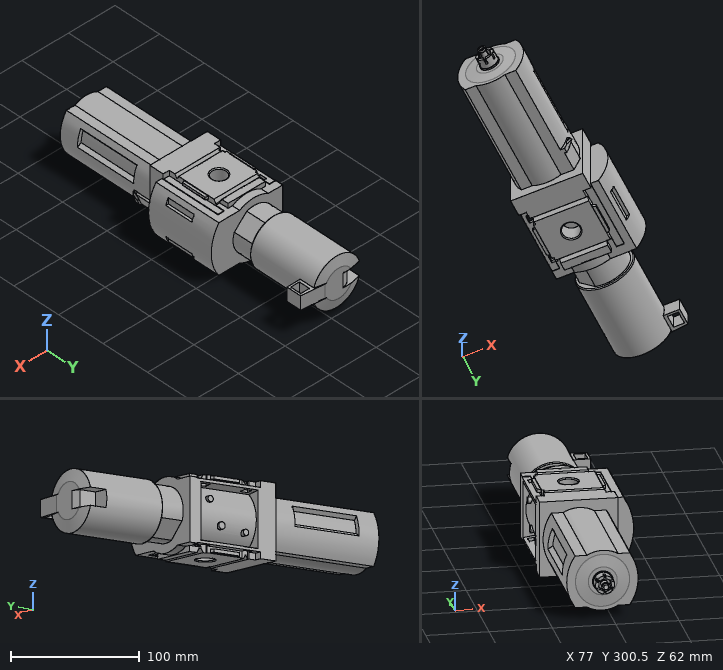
import cadquery as cq
import math


half = 31.0
base_top = 15.0
block_top = 84.7
core_half_height = 26.0
port_y = 45.3
collar_radius = 30.3
end_plate_length = 8.0
end_plate_start = block_top - end_plate_length
rail_half_height = 25.5
pad_half_width = 24.3
pad_start = 23.5
pad_end = 67.3
groove_half_width = 2.0
groove_depth = 3.3
upper_pad_half_width = 20.0

port_diameter = 15.0
port_depth = 15.0
port_chamfer = 1.0

tab_reach = 2.7
tab_bottom = 27.5
tab_top = 30.3
tab_root_half_length = 13.8
tab_tip_half_length = 12.5

clip_x = -25.2
clip_width = 5.0
clip_length = 7.0
clip_places = (25.0, 66.0)
clip_depth = 10.5

window_start = 17.5
window_end = 73.5
window_half_height = 23.0
window_floor_half_height = 21.3
window_floor_radius = 28.5
contact_pins = ((62.8, 11.0, 5.0), (51.7, -8.7, 6.0), (28.0, -11.5, 5.0))
pin_tip_x = -29.0

cover_start = 14.0
cover_shoulder_x = 37.8
cover_crown_x = 46.0
cover_slot_x = 42.0
cover_slot_width = 3.0
cover_slot_length = 29.0
cover_slot_depth = 3.0

bowl_length = 103.5
bowl_radius = 24.5
bowl_flat_z = 21.3
bowl_corner_x = 21.5
bowl_side_x = 28.2
cone_radius = 21.3
cone_end_radius = 11.5
cone_height = 1.2

sight_start = -21.0
sight_length = 63.0
sight_depth = 4.0
sight_flanks = [(-28.0, 20.0), (-20.7, 10.8), (-21.0, 4.0), (-30.5, -2.0)]

latch_y = -19.2
latch_length = 4.2
latch_top_z = -7.2
latch_root_x = 19.5
tongue_x = 28.8
tongue_foot_x = 23.5
nose_x = 30.5
latch_bevel = 1.8

drain_diameter = 15.0
drain_bore = 10.0
drain_ring_radius = 8.0
drain_ring_start = -106.0
drain_end = -114.7
drain_slots = 6
drain_slot_width = 1.5
drain_slot_length = 4.8
stem_diameter = 5.5
stem_lip_diameter = 6.5
stem_lip_length = 2.0
stem_bore = 4.0
stem_end = -120.5

neck_radius = 22.5
neck_flat_distance = 20.5
neck_end = 106.5

knob_radius = 25.5
knob_chamfer = 1.0
knob_shoulder = 177.5
knob_end = 180.0
crown_radius = 15.0
lock_half_width = 7.2
lock_start = 162.2
lock_notch_x = -11.0
lock_notch_run = 6.5
eye_x = 38.7
eye_end = 177.5
eye_hole_start_x = 27.3
eye_wall = 2.0


def box(x_range, y_range, z_range):
    """Box between two limits along each axis."""
    size = [high - low for low, high in (x_range, y_range, z_range)]
    return cq.Workplane("XY").box(*size, centered=False).translate((x_range[0], y_range[0], z_range[0]))


def section(y):
    """Sketch plane across the axis: local x is X, local y is Z, extrusion goes towards +Y."""
    return cq.Workplane(cq.Plane(origin=(0, y, 0), xDir=(1, 0, 0), normal=(0, -1, 0)))


def along_y(sketch, length):
    """Extrude a cross-section towards +Y."""
    return sketch.extrude(-length)


def rod(radius, start, end):
    return along_y(section(start).circle(radius), end - start)


def both_sides(shape, plane):
    """The shape together with its mirror image."""
    return shape.union(shape.mirror(plane))


def make_pad():
    """Raised port face on +Z with V grooves across it and side tabs."""
    pad = box((-pad_half_width, pad_half_width), (base_top, pad_end), (core_half_height, half))
    pad = pad.union(box(
        (-upper_pad_half_width, upper_pad_half_width), (pad_end, end_plate_start), (core_half_height, half)))
    for y in (pad_start, pad_end):
        groove = (
            cq.Workplane("YZ")
            .polyline([(y - groove_half_width, half), (y + groove_half_width, half), (y, half - groove_depth)])
            .close()
            .extrude(half, both=True)
        )
        pad = pad.cut(groove)
    tip_x = pad_half_width + tab_reach
    tab = (
        cq.Workplane("XY", origin=(0, port_y, tab_bottom))
        .polyline([
            (pad_half_width, -tab_root_half_length), (tip_x, -tab_tip_half_length),
            (tip_x, tab_tip_half_length), (pad_half_width, tab_root_half_length)])
        .close()
        .extrude(tab_top - tab_bottom)
    )
    return pad.union(both_sides(tab, "YZ"))


def port_cutter():
    """Blind port on +Z with a chamfered mouth."""
    straight = cq.Workplane("XY").circle(port_diameter / 2).extrude(-port_depth)
    mouth = cq.Workplane("XY").circle(port_diameter / 2 + port_chamfer).workplane(offset=-port_chamfer)
    mouth = mouth.circle(port_diameter / 2).loft()
    return straight.union(mouth).translate((0, port_y, half))


def clip_cutter():
    """Openings that pass through the -X rail on +Z into the side window."""
    centres = [(clip_x, y) for y in clip_places]
    sketch = cq.Workplane("XY").workplane(offset=half).pushPoints(centres).rect(clip_width, clip_length)
    return sketch.extrude(-clip_depth)


def window_cutter():
    """Tapered window in the -X face that ends on a round floor, leaving three short pins on it."""
    floor_x = -math.sqrt(window_floor_radius ** 2 - window_floor_half_height ** 2)
    sketch = section(window_start).polyline([
        (-half, -window_half_height), (floor_x, -window_floor_half_height),
        (floor_x, window_floor_half_height), (-half, window_half_height)]).close()
    cutter = along_y(sketch, window_end - window_start)
    cutter = cutter.cut(rod(window_floor_radius, window_start, window_end))
    for y, z, diameter in contact_pins:
        pin = cq.Workplane("YZ", origin=(pin_tip_x, y, z)).circle(diameter / 2).extrude(-pin_tip_x)
        cutter = cutter.cut(pin)
    return cutter


def make_cover():
    """Domed cover on the +X side, with a slot on its top and bottom."""
    sketch = (
        section(cover_start)
        .moveTo(half, -core_half_height)
        .lineTo(cover_shoulder_x, -core_half_height)
        .threePointArc((cover_crown_x, 0), (cover_shoulder_x, core_half_height))
        .lineTo(half, core_half_height)
        .close()
    )
    cover = along_y(sketch, block_top - cover_start)
    sagitta = cover_crown_x - cover_shoulder_x
    arc_radius = (core_half_height ** 2 + sagitta ** 2) / (2 * sagitta)
    slot_z = math.sqrt(arc_radius ** 2 - (cover_slot_x - cover_crown_x + arc_radius) ** 2)
    slot = box(
        (cover_slot_x - cover_slot_width / 2, cover_slot_x + cover_slot_width / 2),
        (port_y - cover_slot_length / 2, port_y + cover_slot_length / 2),
        (slot_z - cover_slot_depth, half))
    return cover.cut(both_sides(slot, "XY"))


def make_block():
    """Square base, side rails, end plate with its collar, cover, port pads and the cuts in them."""
    rails = (-rail_half_height, rail_half_height)
    block = box((-half, half), (0, base_top), (-half, half))
    block = block.union(box((-half, half), (base_top, end_plate_start), rails))
    core = (-core_half_height, core_half_height)
    block = block.union(box((-half, half), (end_plate_start, block_top), core))
    block = block.union(box((-pad_half_width, pad_half_width), (base_top, end_plate_start), core))
    block = block.union(rod(collar_radius, end_plate_start, block_top))
    block = block.union(make_cover())
    block = block.union(both_sides(make_pad(), "XY"))
    block = block.cut(both_sides(port_cutter(), "XY"))
    block = block.cut(both_sides(clip_cutter(), "XY"))
    return block.cut(window_cutter())


def bowl_sides(inset, length):
    """Prism with flat top and bottom and arched sides; the inset moves the arches inwards."""
    corner = bowl_corner_x - inset
    side = bowl_side_x - inset
    sketch = (
        section(-bowl_length)
        .moveTo(-corner, -bowl_flat_z)
        .lineTo(corner, -bowl_flat_z)
        .threePointArc((side, 0), (corner, bowl_flat_z))
        .lineTo(-corner, bowl_flat_z)
        .threePointArc((-side, 0), (-corner, -bowl_flat_z))
        .close()
    )
    return along_y(sketch, length)


def sight_window_cutter():
    """Flared shallow window in the -X side of the bowl."""
    sketch = section(sight_start - sight_length).polyline(sight_flanks).close()
    flared = along_y(sketch, sight_length)
    return flared.cut(bowl_sides(sight_depth, bowl_length))


def latch_bar(outer_x, foot_x, start, end):
    """Bar that follows the lower +X corner of the bowl."""
    sketch = section(start).polyline([
        (latch_root_x, latch_top_z), (outer_x - latch_bevel, latch_top_z),
        (outer_x, latch_top_z - latch_bevel), (foot_x, -bowl_flat_z), (latch_root_x, -bowl_flat_z)]).close()
    return along_y(sketch, end - start)


def make_latch():
    """Thin tongue that ends in a pointed nose."""
    start = latch_y - latch_length / 2
    end = latch_y + latch_length / 2
    tongue = latch_bar(tongue_x, tongue_foot_x, start, 0)
    nose = latch_bar(nose_x, tongue_foot_x + nose_x - tongue_x, start, end)
    point = (
        cq.Workplane("XY")
        .polyline([
            (latch_root_x, start), (tongue_x - latch_bevel, start), (nose_x, latch_y),
            (tongue_x - latch_bevel, end), (latch_root_x, end)])
        .close()
        .extrude(-half)
    )
    return tongue.union(nose.intersect(point))


def make_bowl():
    bowl = bowl_sides(0, bowl_length)
    bowl = bowl.union(rod(bowl_radius, -bowl_length, 0))
    cone = (
        cq.Workplane("XY")
        .polyline([
            (0, -bowl_length), (cone_radius, -bowl_length),
            (cone_end_radius, -bowl_length - cone_height), (0, -bowl_length - cone_height)])
        .close()
        .revolve(360, (0, 0), (0, 1))
    )
    bowl = bowl.union(cone)
    bowl = bowl.cut(both_sides(sight_window_cutter(), "YZ"))
    return bowl.union(make_latch())


def make_drain():
    """Slotted collar around a bored stem with a lip at its tip."""
    root = -bowl_length
    drain = rod(drain_diameter / 2, drain_end, root)
    drain = drain.union(rod(drain_ring_radius, drain_ring_start, root))
    slot_floor = drain_end + drain_slot_length
    drain = drain.cut(rod(drain_bore / 2, drain_end, slot_floor))
    for index in range(drain_slots):
        slot = box(
            (0, drain_diameter), (drain_end, slot_floor), (-drain_slot_width / 2, drain_slot_width / 2))
        angle = 360 / drain_slots * (index + 0.5)
        drain = drain.cut(slot.rotate((0, 0, 0), (0, 1, 0), angle))
    drain = drain.union(rod(stem_diameter / 2, stem_end, root))
    drain = drain.union(rod(stem_lip_diameter / 2, stem_end, stem_end + stem_lip_length))
    return drain.cut(rod(stem_bore / 2, stem_end, slot_floor))


def make_neck():
    """Round neck with two opposite flats at 45 degrees."""
    neck = rod(neck_radius, block_top, neck_end)
    flats = box(
        (-neck_flat_distance, neck_flat_distance), (block_top, neck_end), (-neck_radius, neck_radius))
    return neck.intersect(flats.rotate((0, 0, 0), (0, 1, 0), -45))


def make_knob():
    """Grip with a crowned end, a notch on -X and a padlock eye on +X."""
    knob = (
        cq.Workplane("XY")
        .moveTo(0, neck_end)
        .lineTo(knob_radius - knob_chamfer, neck_end)
        .lineTo(knob_radius, neck_end + knob_chamfer)
        .lineTo(knob_radius, knob_shoulder)
        .lineTo(crown_radius, knob_end)
        .lineTo(0, knob_end)
        .close()
        .revolve(360, (0, 0), (0, 1))
    )
    lock_z = (-lock_half_width, lock_half_width)
    notch = (
        cq.Workplane("XY")
        .polyline([
            (-knob_radius, lock_start), (lock_notch_x, lock_start), (lock_notch_x, knob_shoulder),
            (lock_notch_x + lock_notch_run, knob_end), (-knob_radius, knob_end)])
        .close()
        .extrude(lock_half_width, both=True)
    )
    eye = (
        cq.Workplane("XY")
        .polyline([
            (0, lock_start), (eye_x, lock_start), (eye_x, eye_end), (crown_radius, knob_end), (0, knob_end)])
        .close()
        .extrude(lock_half_width, both=True)
    )
    eye_hole = box(
        (eye_hole_start_x, eye_x - eye_wall), (lock_start + eye_wall, eye_end - eye_wall), lock_z)
    return knob.union(eye).cut(notch).cut(eye_hole)


valve = make_block().union(make_bowl()).union(make_drain()).union(make_neck())
knob = make_knob()

result = cq.Compound.makeCompound([valve.val(), knob.val()])